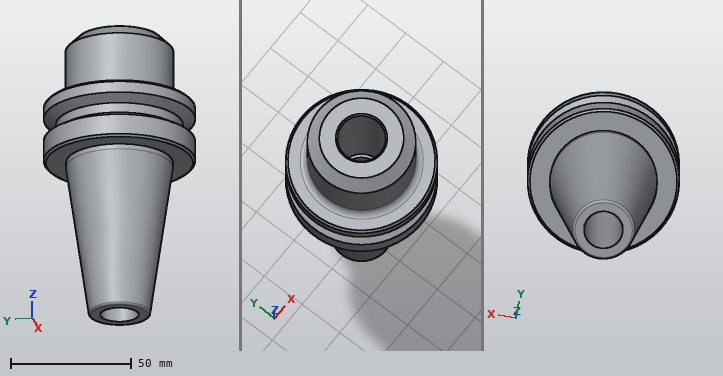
import cadquery as cq

total_height = 121.7
flange_radius = 31.5

taper_ratio = 7 / 24
gauge_height = 65.4
gauge_radius = 22.3
shank_fillet = 1.0

flange_bottom = 67.4
flange_top = 92.6
flange_chamfer = 1.0
groove_radius = 26.5
groove_floor_bottom = 79.8
groove_floor_top = 84.1
groove_flank_height = 2.8

nose_radius = 22.5
nose_chamfer = 5.0
nose_fillet = 3.0

socket_radius = 10.0
socket_depth = 49.9
socket_chamfer = 0.7
seat_radius = 8.5
seat_depth = 9.7
through_radius = 8.0


def shank_radius(height):
    """Taper radius at a height below the gauge line."""
    return gauge_radius - (gauge_height - height) * taper_ratio / 2


def make_body():
    """Revolve the outer half-profile, drawn as (radius, height), about Z and round the shank end."""
    rim_radius = flange_radius - flange_chamfer
    profile = (
        cq.Workplane("XZ")
        .moveTo(0, 0)
        .lineTo(shank_radius(0), 0)
        .lineTo(gauge_radius, gauge_height)
        .lineTo(gauge_radius, flange_bottom)
        .lineTo(rim_radius, flange_bottom)
        .lineTo(flange_radius, flange_bottom + flange_chamfer)
        .lineTo(flange_radius, groove_floor_bottom - groove_flank_height)
        .lineTo(groove_radius, groove_floor_bottom)
        .lineTo(groove_radius, groove_floor_top)
        .lineTo(flange_radius, groove_floor_top + groove_flank_height)
        .lineTo(flange_radius, flange_top - flange_chamfer)
        .lineTo(rim_radius, flange_top)
        .lineTo(nose_radius + nose_fillet, flange_top)
        .radiusArc((nose_radius, flange_top + nose_fillet), nose_fillet)
        .lineTo(nose_radius, total_height - nose_chamfer)
        .lineTo(nose_radius - nose_chamfer, total_height)
        .lineTo(0, total_height)
        .close()
    )
    body = profile.revolve(360, (0, 0, 0), (0, 1, 0))
    return body.faces("<Z").edges().fillet(shank_fillet)


def make_bore():
    """Revolve the stepped bore with a chamfer at the mouth."""
    socket_floor = total_height - socket_depth
    seat_floor = socket_floor - seat_depth
    profile = (
        cq.Workplane("XZ")
        .moveTo(0, 0)
        .lineTo(through_radius, 0)
        .lineTo(through_radius, seat_floor)
        .lineTo(seat_radius, seat_floor)
        .lineTo(seat_radius, socket_floor)
        .lineTo(socket_radius, socket_floor)
        .lineTo(socket_radius, total_height - socket_chamfer)
        .lineTo(socket_radius + socket_chamfer, total_height)
        .lineTo(0, total_height)
        .close()
    )
    return profile.revolve(360, (0, 0, 0), (0, 1, 0))


result = make_body().cut(make_bore())